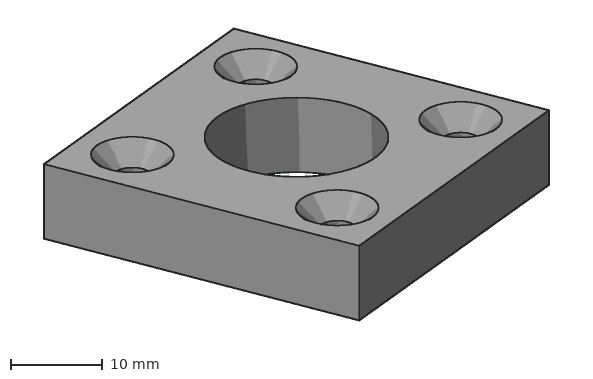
import cadquery as cq

side = 40.0
thickness = 9.0

bore_diameter = 20.0

hole_spacing = 26.0
hole_diameter = 4.0
countersink_diameter = 9.0
countersink_angle = 90.0

plate = cq.Workplane("XY").box(side, side, thickness, centered=(True, True, False))

bored_plate = plate.faces(">Z").workplane().hole(bore_diameter)

result = (
    bored_plate.faces(">Z")
    .workplane(centerOption="CenterOfBoundBox")
    .rarray(hole_spacing, hole_spacing, 2, 2)
    .cskHole(hole_diameter, countersink_diameter, countersink_angle)
)